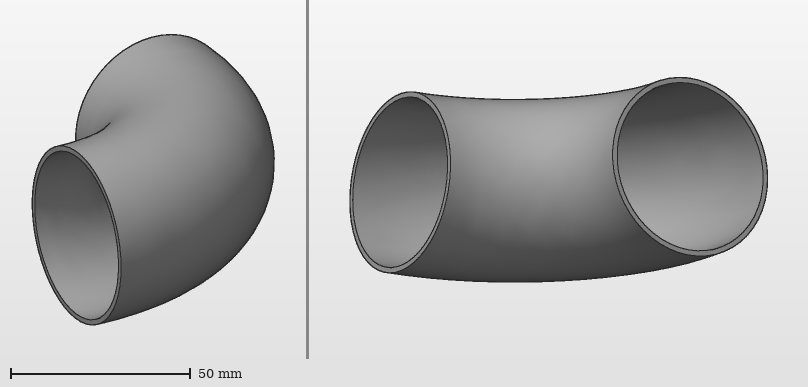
import cadquery as cq
import math

overall_length = 85.1
outer_reach = 82.9
outer_diameter = 50.8
inner_diameter = 47.8

bend_radius = outer_reach - outer_diameter / 2
overrun_length = overall_length - outer_reach
bend_angle = 90.0 + math.degrees(math.asin(overrun_length / outer_reach))


def pipe_bend():
    """Sweep the ring section about the Z axis, from the +X axis towards +Y and beyond."""
    section = (
        cq.Workplane("XZ")
        .center(bend_radius, 0)
        .circle(outer_diameter / 2)
        .circle(inner_diameter / 2)
    )
    axis_start = (-bend_radius, 0, 0)
    axis_end = (-bend_radius, 1, 0)
    return section.revolve(bend_angle, axis_start, axis_end)


result = pipe_bend()